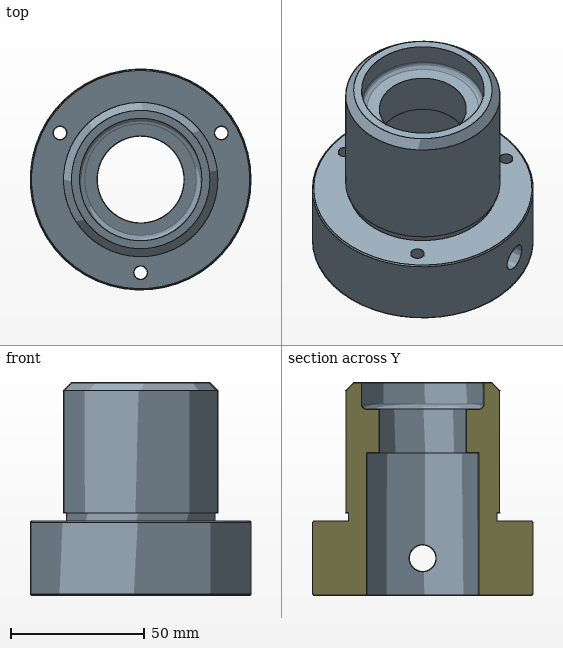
import cadquery as cq

flange_diameter = 83.0
flange_height = 28.0
flange_chamfer = 0.5

total_height = 80.0
sleeve_diameter = 58.0
sleeve_chamfer = 3.0
undercut_diameter = 56.0
undercut_height = 3.0

seat_diameter = 46.0
seat_depth = 10.0
seat_fillet = 2.0
throat_diameter = 32.6
throat_length = 16.4
lower_bore_diameter = 42.0

mounting_hole_diameter = 5.0
mounting_circle_diameter = 70.0
mounting_hole_count = 3
first_hole_angle = 30.0

cross_hole_diameter = 10.0
cross_hole_height = flange_height / 2


def cylinder(diameter, bottom, top):
    return cq.Workplane("XY").workplane(offset=bottom).circle(diameter / 2).extrude(top - bottom)


def make_body():
    undercut_top = flange_height + undercut_height
    flange = cylinder(flange_diameter, 0, flange_height).edges().chamfer(flange_chamfer)
    undercut = cylinder(undercut_diameter, flange_height, undercut_top)
    sleeve = cylinder(sleeve_diameter, undercut_top, total_height)
    sleeve = sleeve.faces(">Z").edges().chamfer(sleeve_chamfer)
    return flange.union(undercut).union(sleeve)


def make_bore():
    seat_floor = total_height - seat_depth
    throat_bottom = seat_floor - throat_length
    seat = cylinder(seat_diameter, seat_floor, total_height)
    seat = seat.faces("<Z").edges().fillet(seat_fillet)
    throat = cylinder(throat_diameter, throat_bottom, seat_floor)
    lower_bore = cylinder(lower_bore_diameter, 0, throat_bottom)
    return seat.union(throat).union(lower_bore)


def make_mounting_holes():
    return (
        cq.Workplane("XY")
        .polarArray(mounting_circle_diameter / 2, first_hole_angle, 360, mounting_hole_count)
        .circle(mounting_hole_diameter / 2)
        .extrude(flange_height)
    )


def make_cross_hole():
    return (
        cq.Workplane("XZ")
        .center(0, cross_hole_height)
        .circle(cross_hole_diameter / 2)
        .extrude(-flange_diameter / 2)
    )


result = make_body().cut(make_bore()).cut(make_mounting_holes()).cut(make_cross_hole())